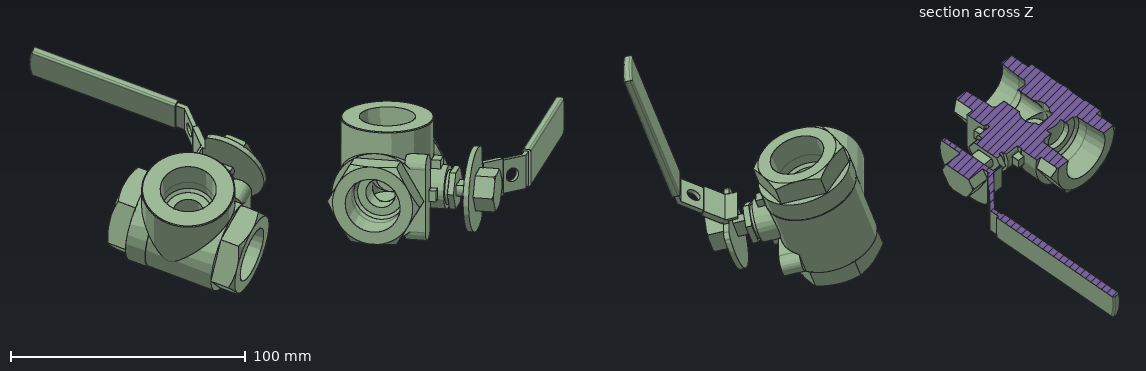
import cadquery as cq
import math


body_diameter = 40.1
body_half_length = 20.0
band_diameter = 41.0
band_inner_end = -10.8
branch_diameter = 39.7
port_face = 29.9
branch_rim_chamfer = 0.4
end_hex_flats = 35.0
end_hex_bevel_length = 1.7

mouth_diameter = 23.9
recess_diameter = 22.6
seat_diameter = 20.0
ball_bore_diameter = 12.8
thread_depth = 10.3
recess_depth = 14.7
ball_radius = 12.9
seat_depth = recess_depth + (recess_diameter - seat_diameter) / 2

pad_width = 10.0
pad_half_length = 19.2
pad_bottom = 11.7
pad_top = 20.9

collar_diameter = 19.0
collar_top = 26.6
neck_diameter = 15.0
gland_bottom = 28.1
gland_top = 30.8
gland_flats = 16.5
stem_diameter = 9.2
stem_flats = 4.9
nut_top = 48.1
nut_flats = 16.3
nut_turn = 3.5
nut_chamfer = 0.6

lug_reach = 12.9
lug_top = 23.9
side_lug_width = 4.9
front_lug_width = 6.0

plate_bottom = 36.9
plate_thickness = 2.5
plate_radius = 18.5
plate_edge = -9.3
plate_corner_radius = 3.1
arm_thickness = 2.0
arm_width = 15.2
shank_width = 16.8
shank_thickness = 2.7
shank_length = 10.2
shank_step = 0.3
arm_bottom = 52.9
arm_bend_x = -26.3
crank_angle = 45
crank_foot_x = -11.5
tab_thickness = 1.0
tab_bottom = 32.5
hang_hole_diameter = 6.0
hang_hole_y = 48.6

grip_tip = -99.1
grip_end = -30.3
grip_top = 56.0
grip_thickness = 3.9
grip_width = 16.9
grip_edge_radius = 0.9
grip_tip_bow = 1.3


def hex_corner_radius(flats):
    return flats / 2 / math.cos(math.pi / 6)


def y_cylinder(diameter, bottom, top):
    return cq.Workplane("XZ", origin=(0, bottom, 0)).circle(diameter / 2).extrude(bottom - top)


def y_hexagon(flats, bottom, top):
    sketch = cq.Workplane("XZ", origin=(0, bottom, 0)).polygon(6, 2 * hex_corner_radius(flats))
    return sketch.extrude(bottom - top)


def box_between(x_range, y_range, z_range):
    size = [high - low for low, high in (x_range, y_range, z_range)]
    corner = (x_range[0], y_range[0], z_range[0])
    return cq.Workplane("XY").box(*size, centered=False).translate(corner)


def end_hex():
    """Hexagonal +X end, with its corners bevelled by a cone at the port face."""
    corner_radius = hex_corner_radius(end_hex_flats)
    bevel_start = port_face - end_hex_bevel_length
    face_radius = end_hex_flats / 2
    prism = cq.Workplane("YZ", origin=(body_half_length, 0, 0)).polygon(6, 2 * corner_radius)
    prism = prism.extrude(port_face - body_half_length)
    envelope = (
        cq.Workplane("XY")
        .polyline([(0, 0), (0, corner_radius), (bevel_start, corner_radius),
                   (port_face, face_radius), (port_face, 0)])
        .close()
        .revolve(360, (0, 0, 0), (1, 0, 0))
    )
    return prism.intersect(envelope)


def port_cavity():
    """Tapered thread, recess and seat, opening at the top of a +Z port."""
    thread_end = port_face - thread_depth
    recess_end = port_face - recess_depth
    seat = port_face - seat_depth
    return (
        cq.Workplane("XZ")
        .polyline([(0, port_face), (mouth_diameter / 2, port_face), (recess_diameter / 2, thread_end),
                   (recess_diameter / 2, recess_end), (seat_diameter / 2, seat), (0, seat)])
        .close()
        .revolve(360, (0, 0, 0), (0, 1, 0))
    )


def ball_passage():
    """Bore from the seat of a +Z port to the far side of the crossing bores."""
    bore_radius = ball_bore_diameter / 2
    length = port_face - seat_depth + bore_radius
    return cq.Workplane("XY", origin=(0, 0, -bore_radius)).circle(bore_radius).extrude(length)


def facing_x(shape, direction):
    """Turn a +Z shape so that it points along +X (1) or -X (-1)."""
    return shape.rotate((0, 0, 0), (0, 1, 0), 90 * direction)


def valve_body():
    run = cq.Workplane("YZ", origin=(-body_half_length, 0, 0)).circle(body_diameter / 2)
    run = run.extrude(2 * body_half_length)
    band = cq.Workplane("YZ", origin=(-body_half_length, 0, 0)).circle(band_diameter / 2)
    band = band.extrude(band_inner_end + body_half_length)
    branch = cq.Workplane("XY").circle(branch_diameter / 2).extrude(port_face)
    branch = branch.faces(">Z").chamfer(branch_rim_chamfer)
    body = run.union(band).union(branch)
    for direction in (0, 180):
        body = body.union(end_hex().rotate((0, 0, 0), (0, 0, 1), direction))
    return body


def mounting_pad():
    pad_x = body_half_length - pad_width / 2
    return (
        cq.Workplane("XZ", origin=(pad_x, pad_bottom, 0))
        .slot2D(2 * pad_half_length, pad_width, 90)
        .extrude(pad_bottom - pad_top)
    )


def stop_lugs():
    half_side = side_lug_width / 2
    half_front = front_lug_width / 2
    heights = (pad_bottom, lug_top)
    side_lugs = box_between((-lug_reach, lug_reach), heights, (-half_side, half_side))
    front_lug = box_between((-half_front, half_front), heights, (0, lug_reach))
    return side_lugs.union(front_lug)


def stem_stack():
    collar = y_cylinder(collar_diameter, pad_bottom, collar_top)
    neck = y_cylinder(neck_diameter, collar_top, gland_bottom)
    gland = y_hexagon(gland_flats, gland_bottom, gland_top)
    half_flats = stem_flats / 2
    flats = box_between((-stem_diameter, stem_diameter), (gland_top, nut_top), (-half_flats, half_flats))
    stem = y_cylinder(stem_diameter, gland_top, plate_bottom + plate_thickness).intersect(flats)
    return collar.union(neck).union(gland).union(stem)


def lever_nut():
    bottom = plate_bottom + plate_thickness
    corner_radius = hex_corner_radius(nut_flats)
    envelope = y_cylinder(2 * corner_radius, bottom, nut_top).faces(">Y").chamfer(nut_chamfer)
    nut = y_hexagon(nut_flats, bottom, nut_top).rotate((0, 0, 0), (0, 1, 0), nut_turn)
    return nut.intersect(envelope)


def stop_plate():
    disc = y_cylinder(2 * plate_radius, plate_bottom, plate_bottom + plate_thickness)
    keep = box_between((plate_edge, plate_radius), (0, nut_top), (-plate_radius, plate_radius))
    return disc.intersect(keep).faces("<X").edges("|Y").fillet(plate_corner_radius)


def lever_arm():
    """Bent strip with a hanging hole, a wider shank, a turned-down tab and a foot on the stop plate."""
    slant = math.radians(crank_angle)
    bend_offset = arm_thickness * math.tan(slant / 2)
    rise = (crank_foot_x - arm_bend_x) * math.tan(slant)
    foot_y = arm_bottom - rise
    across = (arm_thickness * math.sin(slant), arm_thickness * math.cos(slant))
    arm = (
        cq.Workplane("XY", origin=(0, 0, -arm_width / 2))
        .polyline([(grip_end, arm_bottom), (arm_bend_x, arm_bottom), (crank_foot_x, foot_y),
                   (crank_foot_x + across[0], foot_y + across[1]),
                   (arm_bend_x + bend_offset, arm_bottom + arm_thickness),
                   (grip_end, arm_bottom + arm_thickness)])
        .close()
        .extrude(arm_width)
    )
    shank = (
        cq.Workplane("XY")
        .box(shank_length, shank_thickness, shank_width, centered=(False, False, True))
        .translate((-shank_length, -shank_step, 0))
        .rotate((0, 0, 0), (0, 0, 1), -crank_angle)
        .translate((crank_foot_x, foot_y, 0))
    )
    half_width = shank_width / 2
    tab_x = (crank_foot_x, crank_foot_x + tab_thickness)
    tab = box_between(tab_x, (tab_bottom, foot_y + tab_thickness), (-half_width, half_width))
    foot = box_between((crank_foot_x + tab_thickness, 0), (plate_bottom, plate_bottom + plate_thickness),
                       (-half_width, half_width))
    hole_x = arm_bend_x + (arm_bottom - hang_hole_y) / math.tan(slant)
    hole_plane = cq.Plane(origin=(hole_x, hang_hole_y, 0), xDir=(0, 0, 1),
                          normal=(math.sin(slant), math.cos(slant), 0))
    hole = cq.Workplane(hole_plane).circle(hang_hole_diameter / 2).extrude(2 * arm_thickness, both=True)
    return arm.cut(hole).union(shank).union(tab).union(foot)


def grip():
    """Sleeve over the arm, with rounded long edges and a bowed tip."""
    half_width = grip_width / 2
    shoulder = grip_tip + grip_tip_bow
    bottom = grip_top - grip_thickness
    return (
        cq.Workplane("XZ", origin=(0, bottom, 0))
        .moveTo(grip_end, -half_width)
        .lineTo(shoulder, -half_width)
        .threePointArc((grip_tip, 0), (shoulder, half_width))
        .lineTo(grip_end, half_width)
        .close()
        .extrude(-grip_thickness)
        .faces("<Y or >Y")
        .edges("not >X")
        .fillet(grip_edge_radius)
    )


result = valve_body().union(mounting_pad()).union(stop_lugs()).union(stem_stack())

ball = cq.Workplane("XY").sphere(ball_radius)
outer_side = box_between((-port_face, 0), (-port_face, port_face), (-port_face, port_face))
closed_passage = facing_x(ball_passage(), -1).intersect(outer_side).cut(ball)
result = result.cut(port_cavity()).cut(ball_passage())
result = result.cut(facing_x(port_cavity(), 1)).cut(facing_x(ball_passage(), 1))
result = result.cut(facing_x(port_cavity(), -1)).cut(closed_passage)

result = result.union(stop_plate()).union(lever_nut()).union(lever_arm()).union(grip())